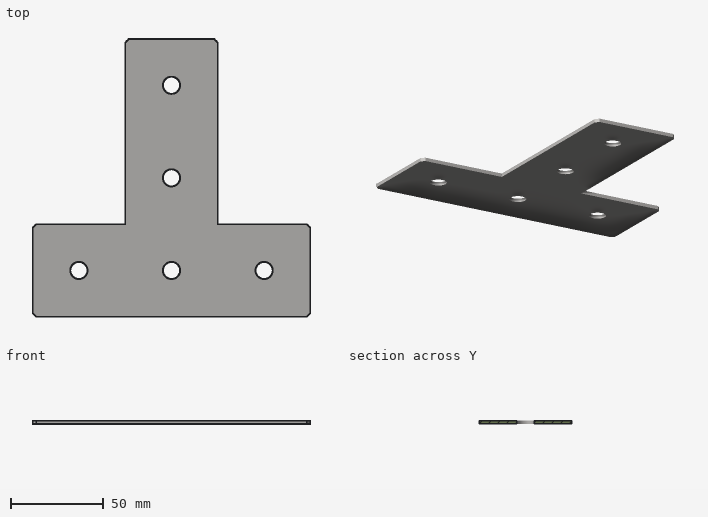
import cadquery as cq

side = 150.0
thickness = 2.0

cell = side / 3
hole_diameter = 9.2
corner_chamfer = 2.0


def bar(length_x, length_y):
    """Flat rectangular bar, centred in X and Y, with its outer corners cut off."""
    return (
        cq.Workplane("XY")
        .box(length_x, length_y, thickness, centered=(True, True, False))
        .edges("|Z")
        .chamfer(corner_chamfer)
    )


cross_bar = bar(side, cell).translate((0, -cell, 0))
stem = bar(cell, side)

hole_centers = [(-cell, -cell), (0, -cell), (cell, -cell), (0, 0), (0, cell)]
holes = (
    cq.Workplane("XY")
    .pushPoints(hole_centers)
    .circle(hole_diameter / 2)
    .extrude(thickness)
)

result = cross_bar.union(stem).cut(holes).clean()